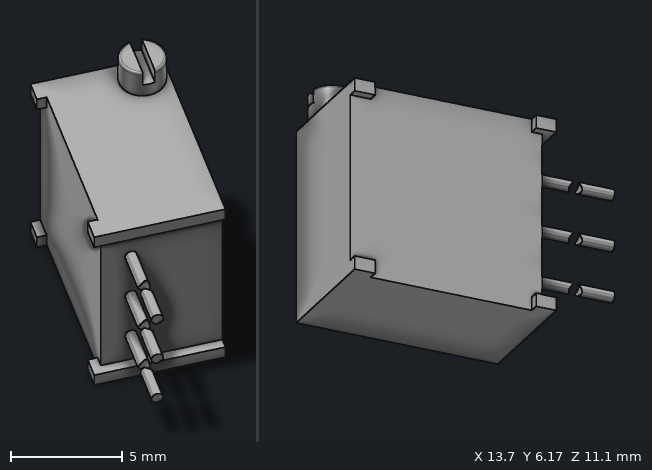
import cadquery as cq

overall_length = 13.67
overall_depth = 6.17
overall_height = 11.07
block_length = 9.53
housing_height = 9.54
foot_length = 1.01
foot_height = 0.65
front_standoff = 0.46
side_standoff = 0.49
block_depth = overall_depth - front_standoff
housing_length = block_length + side_standoff
housing_top = housing_height / 2

screw_diameter = 2.19
screw_height = overall_height - housing_height
screw_x = 1.18
screw_y = -1.27
screw_edge_radius = 0.12
slot_width = 0.56
slot_depth = 0.74

lead_diameter = 0.56
lead_pitch = 2.54
lead_y = -4.29
stub_end = 11.52
tip_start = 11.99
stub_break_wave = 0.103
tip_break_wave = 0.08
lead_levels = [-lead_pitch, 0, lead_pitch]


def make_block(x_start, length, y_front, depth, z_bottom, height):
    """Box given by its -X, front and bottom sides and its size along X, Y and Z."""
    corner = (x_start, y_front, z_bottom)
    return cq.Workplane("XY").box(length, depth, height, centered=False).translate(corner)


def make_housing():
    """Block with a rail along both +X edges and a foot at each front corner."""
    housing = make_block(0, block_length, -block_depth, block_depth, -housing_top, housing_height)
    for foot_bottom in (-housing_top, housing_top - foot_height):
        rail = make_block(0, housing_length, -block_depth, block_depth, foot_bottom, foot_height)
        housing = housing.union(rail)
        for foot_start in (0, housing_length - foot_length):
            foot = make_block(
                foot_start, foot_length, -overall_depth, overall_depth, foot_bottom, foot_height
            )
            housing = housing.union(foot)
    return housing


def make_screw():
    """Round screw head with softened rims and a slot along X."""
    head = (
        cq.Workplane("XY")
        .circle(screw_diameter / 2)
        .extrude(screw_height)
        .edges()
        .fillet(screw_edge_radius)
    )
    slot = (
        cq.Workplane("XY")
        .workplane(offset=screw_height - slot_depth)
        .rect(screw_diameter, slot_width)
        .extrude(slot_depth)
    )
    return head.cut(slot).translate((screw_x, screw_y, housing_top))


def make_lead_piece(flat_x, break_x, break_wave, lead_z):
    """Round piece from a flat end to a saddle break that swings about break_x."""
    half = lead_diameter
    corner_swing = 2 * break_wave * (half / (lead_diameter / 2)) ** 2
    if break_x > flat_x:
        upper_front_x = break_x + corner_swing
        upper_back_x = break_x - corner_swing
    else:
        upper_front_x = break_x - corner_swing
        upper_back_x = break_x + corner_swing
    lower_section = [(flat_x, -half), (upper_back_x, -half), (upper_front_x, half), (flat_x, half)]
    upper_section = [(flat_x, -half), (upper_front_x, -half), (upper_back_x, half), (flat_x, half)]
    envelope = (
        cq.Workplane("XY", origin=(0, 0, -half))
        .polyline(lower_section)
        .close()
        .workplane(offset=2 * half)
        .polyline(upper_section)
        .close()
        .loft(ruled=True)
    )
    rod = cq.Workplane("YZ").circle(lead_diameter / 2).extrude(overall_length)
    return rod.intersect(envelope).translate((0, lead_y, lead_z))


def make_trimmer_body():
    """Housing carrying the screw head and the three lead stubs as one solid."""
    body = make_housing().union(make_screw())
    for level in lead_levels:
        body = body.union(make_lead_piece(block_length / 2, stub_end, stub_break_wave, level))
    return body


def make_lead_tip(lead_z):
    """Free outer end of a lead, beyond the gap."""
    return make_lead_piece(overall_length, tip_start, tip_break_wave, lead_z)


trimmer_body = make_trimmer_body()
lead_tips = [make_lead_tip(level) for level in lead_levels]

result = cq.Compound.makeCompound([trimmer_body.val(), *[tip.val() for tip in lead_tips]])